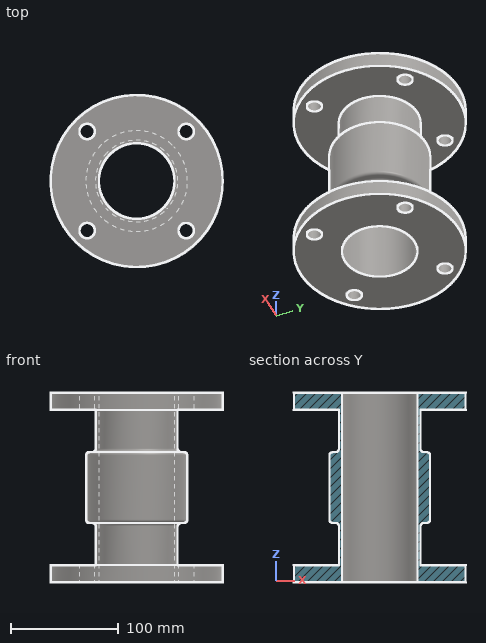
import cadquery as cq

length = 176.0
flange_diameter = 160.0
flange_thickness = 16.0

bore_diameter = 70.0
neck_diameter = 76.2
body_diameter = 94.0
body_length = 66.0
shoulder_radius = 3.0

bolt_hole_diameter = 14.0
bolt_circle_diameter = 130.0
bolt_count = 4
first_bolt_angle = 45.0

body_bottom = (length - body_length) / 2
body_top = body_bottom + body_length


def cylinder(diameter, bottom, height):
    """Upright cylinder on the Z axis, starting at the given height."""
    return cq.Workplane("XY").workplane(offset=bottom).circle(diameter / 2).extrude(height)


def shoulder_edges(height):
    """Selector for the outer rim and the inner corner of the body shoulder at one height."""
    reach = body_diameter / 2 + shoulder_radius
    low_corner = (-reach, -reach, height - shoulder_radius)
    high_corner = (reach, reach, height + shoulder_radius)
    return cq.selectors.BoxSelector(low_corner, high_corner, boundingbox=True)


def make_barrel():
    """Neck with the wider body at mid-length, rim and corner rounded at both shoulders."""
    barrel = cylinder(neck_diameter, 0, length)
    barrel = barrel.union(cylinder(body_diameter, body_bottom, body_length))
    for shoulder in (body_bottom, body_top):
        barrel = barrel.edges(shoulder_edges(shoulder)).fillet(shoulder_radius)
    return barrel


def drill_bore(part):
    """Straight bore through the whole length."""
    return part.cut(cylinder(bore_diameter, 0, length))


def drill_bolt_holes(part):
    """Matching through holes in both flanges, midway between the X and Y axes."""
    holes = (
        cq.Workplane("XY")
        .polarArray(bolt_circle_diameter / 2, first_bolt_angle, 360, bolt_count)
        .circle(bolt_hole_diameter / 2)
        .extrude(length)
    )
    return part.cut(holes)


result = make_barrel()
for flange_bottom in (0, length - flange_thickness):
    result = result.union(cylinder(flange_diameter, flange_bottom, flange_thickness))
result = drill_bore(result)
result = drill_bolt_holes(result)